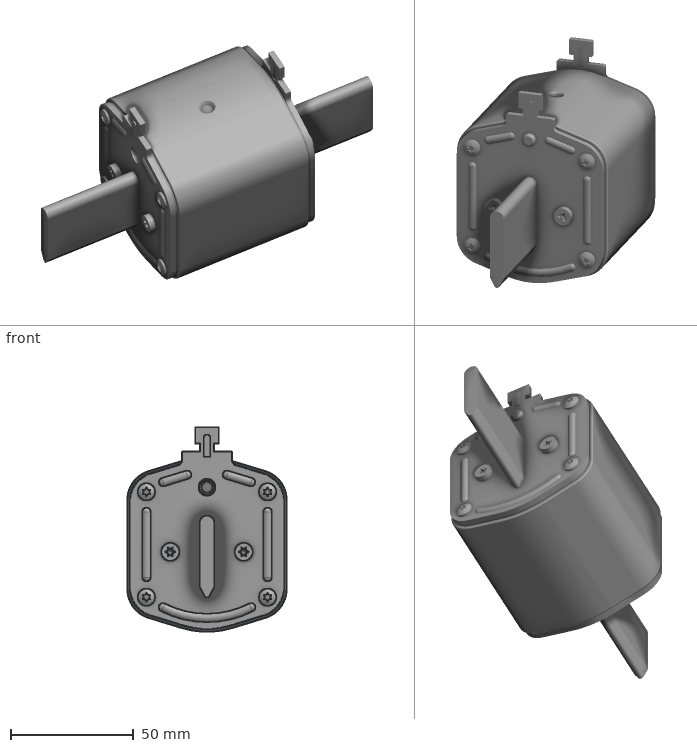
import cadquery as cq
import math


body_half_length = 29.9
body_width = 65.0
half_width = body_width / 2
corner_radius = 12.5
corner_centre_z = 18.0
slope_angle = 17.0
crown_half_width = 10.2
body_end_fillet = 0.52

cover_inset = 1.12
gasket_inset = 1.42
gasket_thickness = 0.9
plate_thickness = 2.4
plate_back = body_half_length + gasket_thickness
cover_face = plate_back + plate_thickness

shoulder_width = 20.5
shoulder_top = 38.0
shoulder_root_fillet = 1.8
shoulder_corner_fillet = 0.7
neck_width = 5.8
head_width = 9.7
head_bottom = 41.1
tag_top = 47.8
tag_bead_width = 2.5
tag_bead_top = 44.7
tag_bead_bottom = 35.7
tag_bead_height = 0.5
tag_bead_corner_fillet = 1.0

rib_width = 3.5
rib_height = 0.82
rib_radius = ((rib_width / 2) ** 2 + rib_height**2) / (2 * rib_height)
rib_axis_y = cover_face + rib_height - rib_radius
side_rib_x = 24.7
side_rib_half_length = 13.3
top_rib_centre = (13.0, 26.9)
top_rib_half_length = 5.1
arc_rib_low_z = -29.9
arc_rib_end = (18.0, -25.5)

corner_screw_x = side_rib_x
corner_screw_spacing = 42.9
corner_screw_z = corner_screw_spacing / 2
corner_screw_diameter = 7.0
corner_screw_radius = corner_screw_diameter / 2
corner_screw_rim_height = 0.9
corner_screw_dome_height = 2.0
corner_socket_radius = 1.8
corner_socket_depth = 1.0
contact_screw_x = 15.0
contact_screw_z = -3.0
contact_screw_diameter = 7.3
contact_screw_height = 2.7
contact_socket_radius = 2.1
contact_socket_depth = 1.2
contact_pit_radius = 1.2
contact_pit_depth = 0.9
socket_waist_ratio = 0.6
socket_points = 6

recess_radius = 3.5
recess_floor_radius = 2.2
recess_depth = 1.5
cover_hole_z = 23.3
cover_hole_depth = 1.5
cover_recess_radius = 3.1

button_z = 28.1
button_radius = 2.7
button_height = 1.8
button_chamfer = 0.7

blade_half_length = 74.7
blade_half_thickness = 3.0
blade_top = 11.8
blade_taper_start = -17.2
blade_tip_half_width = 1.2
blade_tip_start = -20.6
blade_bottom = -21.5

slope = math.radians(slope_angle)


def corner_end(inset):
    """Point (x, z) where the rounded corner meets the sloping flat."""
    radius = corner_radius - inset
    x = half_width - corner_radius + radius * math.sin(slope)
    z = corner_centre_z + radius * math.cos(slope)
    return x, z


def crown(inset):
    """Half width, edge height and top height of the arc that joins the two sloping flats."""
    body_radius = crown_half_width / math.sin(slope)
    radius = body_radius - inset
    edge_x = radius * math.sin(slope)
    corner_x, corner_z = corner_end(inset)
    edge_z = corner_z + (corner_x - edge_x) * math.tan(slope)
    top_z = edge_z + radius * (1 - math.cos(slope))
    return edge_x, edge_z, top_z


def body_outline(inset, y):
    """Closed outline of the body, moved inward by inset, on a plane parallel to XZ at y."""
    radius = corner_radius - inset
    side_x = half_width - inset
    corner_x, corner_z = corner_end(inset)
    crown_x, crown_z, crown_top = crown(inset)
    half_turn = (math.pi / 2 - slope) / 2
    mid_x = side_x - radius + radius * math.cos(half_turn)
    mid_z = corner_centre_z + radius * math.sin(half_turn)
    return (
        cq.Workplane("XZ", origin=(0, y, 0))
        .moveTo(side_x, -corner_centre_z)
        .lineTo(side_x, corner_centre_z)
        .threePointArc((mid_x, mid_z), (corner_x, corner_z))
        .lineTo(crown_x, crown_z)
        .threePointArc((0, crown_top), (-crown_x, crown_z))
        .lineTo(-corner_x, corner_z)
        .threePointArc((-mid_x, mid_z), (-side_x, corner_centre_z))
        .lineTo(-side_x, -corner_centre_z)
        .threePointArc((-mid_x, -mid_z), (-corner_x, -corner_z))
        .lineTo(-crown_x, -crown_z)
        .threePointArc((0, -crown_top), (crown_x, -crown_z))
        .lineTo(corner_x, -corner_z)
        .threePointArc((mid_x, -mid_z), (side_x, -corner_centre_z))
        .close()
    )


def conical_recess(origin, outward, rim_radius):
    """Cutter for a conical recess with a flat floor, opening at origin towards outward."""
    inward = cq.Vector(*outward).multiply(-1)
    cone = cq.Solid.makeCone(rim_radius, recess_floor_radius, recess_depth, cq.Vector(*origin), inward)
    return cq.Workplane(cone)


def make_body():
    body = body_outline(0, body_half_length).extrude(2 * body_half_length)
    return body.faces("<Y or >Y").edges().fillet(body_end_fillet)


def face_plane(x, z, depth=cover_face):
    """Sketch plane on the -Y cover, facing outward, with its origin at (x, z)."""
    return cq.Workplane("XZ", origin=(x, -depth, z))


def tag_block(width, bottom, top):
    """Part of the tag sheet, centred on X = 0."""
    height = top - bottom
    sketch = face_plane(0, bottom + height / 2, plate_back).rect(width, height)
    return sketch.extrude(plate_thickness)


def make_tag():
    """Shoulder, neck and head of the pull tag."""
    shoulder = tag_block(shoulder_width, 0, shoulder_top)
    shoulder = shoulder.edges("|Y and >Z").fillet(shoulder_corner_fillet)
    neck = tag_block(neck_width, 0, head_bottom)
    head = tag_block(head_width, head_bottom, tag_top)
    return shoulder.union(neck).union(head)


def tag_bead(depth):
    """Bead pressed into the tag: raised by its height from the face at depth."""
    bead_length = tag_bead_top - tag_bead_bottom
    return (
        face_plane(0, tag_bead_bottom + bead_length / 2, depth)
        .rect(tag_bead_width, bead_length)
        .extrude(tag_bead_height)
        .edges("|Y and >Z")
        .fillet(tag_bead_corner_fillet)
    )


def make_plate():
    """Cover plate and tag in one sheet, with a fillet where the shoulder rises from the slope."""
    plate = body_outline(cover_inset, -plate_back).extrude(plate_thickness).union(make_tag())
    corner_x, corner_z = corner_end(cover_inset)
    shoulder_x = shoulder_width / 2
    root_z = corner_z + (corner_x - shoulder_x) * math.tan(slope)
    for side in (-1, 1):
        root = (side * shoulder_x, -cover_face + plate_thickness / 2, root_z)
        root_edge = cq.selectors.NearestToPointSelector(root)
        plate = plate.edges("|Y").edges(root_edge).fillet(shoulder_root_fillet)
    return plate.cut(tag_bead(plate_back))


def rib_end(x, z):
    return cq.Workplane("XY").sphere(rib_radius).translate((x, -rib_axis_y, z))


def straight_rib(x, z, half_length, angle):
    """Round-topped rib centred at (x, z), its length turned by angle from X."""
    dx = half_length * math.cos(angle)
    dz = half_length * math.sin(angle)
    start = cq.Vector(x - dx, -rib_axis_y, z - dz)
    bar = cq.Solid.makeCylinder(rib_radius, 2 * half_length, start, cq.Vector(dx, 0, dz))
    return cq.Workplane(bar).union(rib_end(x - dx, z - dz)).union(rib_end(x + dx, z + dz))


def arc_rib():
    """Round-topped rib along the arc under the blade."""
    end_x, end_z = arc_rib_end
    sag = end_z - arc_rib_low_z
    path_radius = (end_x**2 + sag**2) / (2 * sag)
    centre_z = arc_rib_low_z + path_radius
    half_span = math.degrees(math.asin(end_x / path_radius))
    bar = (
        cq.Workplane("XY", origin=(0, -rib_axis_y, centre_z))
        .transformed(rotate=(0, -half_span, 0))
        .transformed(offset=(0, 0, -path_radius), rotate=(0, 90, 0))
        .circle(rib_radius)
        .revolve(2 * half_span, (-path_radius, 0, 0), (-path_radius, 1, 0))
    )
    return bar.union(rib_end(-end_x, end_z)).union(rib_end(end_x, end_z))


def socket(x, z, top, radius, depth, first_angle):
    """Cutter for a six-pointed star socket, sunk into a face whose distance from Y = 0 is top."""
    points = []
    for step in range(2 * socket_points):
        angle = math.radians(first_angle + step * 180 / socket_points)
        reach = radius if step % 2 == 0 else radius * socket_waist_ratio
        points.append((reach * math.cos(angle), reach * math.sin(angle)))
    return face_plane(x, z, top).polyline(points).close().extrude(-depth)


def corner_screw(x, z):
    """Domed screw head with a star socket."""
    dome_rise = corner_screw_dome_height - corner_screw_rim_height
    dome_radius = (corner_screw_radius**2 + dome_rise**2) / (2 * dome_rise)
    top = cover_face + corner_screw_dome_height
    head = (
        cq.Workplane("XY", origin=(x, -cover_face, z))
        .lineTo(corner_screw_radius, 0)
        .lineTo(corner_screw_radius, -corner_screw_rim_height)
        .radiusArc((0, -corner_screw_dome_height), dome_radius)
        .close()
        .revolve(360, (0, 0, 0), (0, 1, 0))
    )
    return head.cut(socket(x, z, top, corner_socket_radius, corner_socket_depth, 30))


def contact_screw(x, z):
    """Flat cylindrical screw head with a star socket that ends in a conical pit."""
    head = face_plane(x, z).circle(contact_screw_diameter / 2).extrude(contact_screw_height)
    top = cover_face + contact_screw_height
    head = head.cut(socket(x, z, top, contact_socket_radius, contact_socket_depth, 0))
    pit_start = cq.Vector(x, contact_socket_depth - top, z)
    pit = cq.Solid.makeCone(contact_pit_radius, 0, contact_pit_depth, pit_start, cq.Vector(0, 1, 0))
    return head.cut(pit)


def make_end():
    """Everything fixed to the -Y end of the body."""
    end = body_outline(gasket_inset, -body_half_length).extrude(gasket_thickness)
    end = end.union(make_plate()).union(tag_bead(cover_face)).union(arc_rib())
    top_rib_x, top_rib_z = top_rib_centre
    for side in (-1, 1):
        end = end.union(straight_rib(side * side_rib_x, 0, side_rib_half_length, math.pi / 2))
        end = end.union(straight_rib(side * top_rib_x, top_rib_z, top_rib_half_length, -side * slope))
        end = end.union(contact_screw(side * contact_screw_x, contact_screw_z))
        for level in (-1, 1):
            end = end.union(corner_screw(side * corner_screw_x, level * corner_screw_z))
    return end


def make_button():
    base = cq.Workplane("XZ", origin=(0, cover_face, button_z))
    button = base.circle(button_radius).extrude(-button_height)
    return button.faces(">Y").edges().chamfer(button_chamfer)


def make_blade():
    """Flat blade with a round upper edge and a tapered lower edge."""
    round_start = blade_top - blade_half_thickness
    return (
        cq.Workplane("XZ", origin=(0, blade_half_length, 0))
        .moveTo(blade_half_thickness, blade_taper_start)
        .lineTo(blade_half_thickness, round_start)
        .threePointArc((0, blade_top), (-blade_half_thickness, round_start))
        .lineTo(-blade_half_thickness, blade_taper_start)
        .lineTo(-blade_tip_half_width, blade_tip_start)
        .threePointArc((0, blade_bottom), (blade_tip_half_width, blade_tip_start))
        .close()
        .extrude(2 * blade_half_length)
    )


front_end = make_end()
rear_end = front_end.mirror("XZ")
crown_top = crown(0)[2]

result = make_body().union(front_end).union(rear_end).union(make_button()).union(make_blade())
result = result.cut(conical_recess((0, 0, crown_top), (0, 0, 1), recess_radius))
result = result.cut(face_plane(0, cover_hole_z).circle(recess_radius).extrude(-cover_hole_depth))
cover_hole_floor = (0, cover_hole_depth - cover_face, cover_hole_z)
result = result.cut(conical_recess(cover_hole_floor, (0, -1, 0), cover_recess_radius))